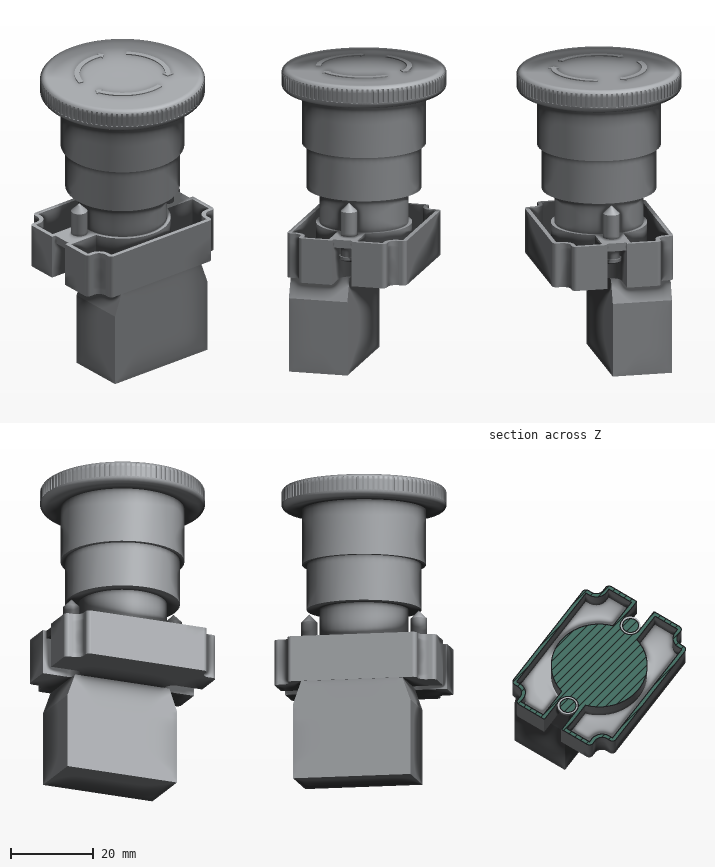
import cadquery as cq
import math

total_height = 74.0
arrow_relief = 0.3
head_top = total_height - arrow_relief
head_bottom = 68.15
collar_bottom = 54.7
ring_bottom = 43.6
housing_top = 35.0
housing_bottom = 23.9
slope_bottom = 18.35

head_diameter = 40.0
head_radius = head_diameter / 2
head_round = 1.5
groove_count = 100
groove_width = 0.5
groove_depth = 0.26
groove_top_gap = 0.7
groove_top = head_top - groove_top_gap
groove_bottom = head_bottom + head_round

arrow_count = 3
arrow_radius = 11.0
arrow_width = 1.25
arrow_head_width = 2.75
arrow_tail_angle = 135.7
arrow_neck_angle = 50.7
arrow_tip_angle = 44.5

collar_radius = 15.0
ring_radius = 13.9
neck_radius = 10.8

housing_half_x = 15.0
housing_length = 40.0
housing_half_y = housing_length / 2
end_half_x = 11.0
middle_half_y = 16.0
wall = 1.0
corner_round = 1.0
scallop_radius = 2.0
floor_thickness = 2.0
boss_radius = 11.7

screw_offset = 13.55
channel_width = 4.95
channel_wall = 1.0
plate_thickness = 2.0
screw_radius = 2.0
screw_cone_base = 41.0
screw_tip = 43.0
screw_head_radius = 2.45
screw_head_top = 29.9
screw_head_rim = 0.75
screw_head_dome = 0.8

block_start_x = 0.15
block_end_x = 14.9
block_half_y = 14.5
block_top_half_y = 12.5


def cylinder(radius, bottom, top):
    return cq.Workplane("XY").workplane(offset=bottom).circle(radius).extrude(top - bottom)


def polar(radius, degrees):
    angle = math.radians(degrees)
    return (radius * math.cos(angle), radius * math.sin(angle))


def make_head():
    """Disc with rounded rims and a ring of short vertical grip grooves."""
    disc = cylinder(head_radius, head_bottom, head_top).edges().fillet(head_round)
    cutters = (
        cq.Workplane("XY")
        .workplane(offset=groove_bottom)
        .polarArray(head_radius, 0, 360, groove_count)
        .rect(2 * groove_depth, groove_width)
        .extrude(groove_top - groove_bottom)
    )
    return disc.cut(cutters)


def make_arrow(rotation):
    """Curved clockwise arrow standing on the top of the head."""
    inner = arrow_radius - arrow_width / 2
    outer = arrow_radius + arrow_width / 2
    barb_inner = arrow_radius - arrow_head_width / 2
    barb_outer = arrow_radius + arrow_head_width / 2
    tail = arrow_tail_angle + rotation
    neck = arrow_neck_angle + rotation
    middle = (tail + neck) / 2
    tip = arrow_tip_angle + rotation
    outline = (
        cq.Workplane("XY")
        .workplane(offset=head_top)
        .moveTo(*polar(inner, tail))
        .lineTo(*polar(outer, tail))
        .threePointArc(polar(outer, middle), polar(outer, neck))
        .lineTo(*polar(barb_outer, neck))
        .lineTo(*polar(arrow_radius, tip))
        .lineTo(*polar(barb_inner, neck))
        .lineTo(*polar(inner, neck))
        .threePointArc(polar(inner, middle), polar(inner, tail))
        .close()
    )
    return outline.extrude(arrow_relief)


def make_stem():
    """Stepped round body from the head down to the tray."""
    collar = cylinder(collar_radius, collar_bottom, head_bottom)
    ring = cylinder(ring_radius, ring_bottom, collar_bottom)
    neck = cylinder(neck_radius, housing_top, ring_bottom)
    return collar.union(ring).union(neck)


def make_cross(inset, bottom, top):
    """Cross-shaped prism, its sides moved inward by inset, with scalloped inner corners."""
    height = top - bottom
    half_x = end_half_x - inset
    half_y = middle_half_y - inset
    base = cq.Workplane("XY").workplane(offset=bottom)
    middle = base.rect(2 * (housing_half_x - inset), 2 * half_y).extrude(height)
    ends = base.rect(2 * half_x, 2 * (housing_half_y - inset)).extrude(height)
    inner_corners = cq.selectors.BoxSelector(
        (-half_x - wall, -half_y - wall, bottom),
        (half_x + wall, half_y + wall, top),
    )
    return middle.union(ends).edges("|Z").edges(inner_corners).fillet(scallop_radius + inset)


def box_at(width, y_start, y_end, bottom, top):
    """Box centred on X = 0 between two Y positions."""
    center = (0, (y_start + y_end) / 2, (bottom + top) / 2)
    return cq.Workplane("XY").box(width, abs(y_end - y_start), top - bottom).translate(center)


def make_housing():
    """Open tray with a central boss and a bridge block at each end."""
    shell = make_cross(0, housing_bottom, housing_top)
    for side in (">X", "<X", ">Y", "<Y"):
        shell = shell.faces(side).edges("|Z").fillet(corner_round)
    housing = shell.cut(make_cross(wall, housing_bottom + floor_thickness, housing_top))
    housing = housing.union(cylinder(boss_radius, housing_bottom, housing_top))

    bridge_width = channel_width + 2 * channel_wall
    inner_end = housing_half_y - wall
    plate_bottom = housing_top - plate_thickness
    for end in (-1, 1):
        screw_y = end * screw_offset
        bridge = box_at(bridge_width, 0, end * inner_end, housing_bottom, housing_top)
        channel = box_at(channel_width, screw_y, end * housing_half_y, housing_bottom, plate_bottom)
        channel_end = cylinder(channel_width / 2, housing_bottom, plate_bottom)
        notch = box_at(channel_width, end * inner_end, end * housing_half_y, plate_bottom, housing_top)
        housing = housing.union(bridge).cut(channel).cut(channel_end.translate((0, screw_y, 0))).cut(notch)
    return housing


def make_screw():
    """Pointed screw on the Z axis, its head at the lower end domed underneath."""
    rim_bottom = screw_head_top - screw_head_rim
    dome_bottom = rim_bottom - screw_head_dome
    sphere_radius = (screw_head_radius**2 + screw_head_dome**2) / (2 * screw_head_dome)
    mid_angle = math.asin(screw_head_radius / sphere_radius) / 2
    dome_middle = (
        sphere_radius * math.sin(mid_angle),
        dome_bottom + sphere_radius * (1 - math.cos(mid_angle)),
    )
    profile = (
        cq.Workplane("XZ")
        .moveTo(0, dome_bottom)
        .threePointArc(dome_middle, (screw_head_radius, rim_bottom))
        .lineTo(screw_head_radius, screw_head_top)
        .lineTo(screw_radius, screw_head_top)
        .lineTo(screw_radius, screw_cone_base)
        .lineTo(0, screw_tip)
        .close()
    )
    return profile.revolve(360, (0, 0, 0), (0, 1, 0))


def make_block():
    """Block under the +X half of the tray, sloped at the top of both Y ends."""
    return (
        cq.Workplane("YZ", origin=(block_start_x, 0, 0))
        .moveTo(-block_half_y, 0)
        .lineTo(block_half_y, 0)
        .lineTo(block_half_y, slope_bottom)
        .lineTo(block_top_half_y, housing_bottom)
        .lineTo(-block_top_half_y, housing_bottom)
        .lineTo(-block_half_y, slope_bottom)
        .close()
        .extrude(block_end_x - block_start_x)
    )


result = make_head().union(make_stem()).union(make_housing()).union(make_block())
for index in range(arrow_count):
    result = result.union(make_arrow(index * 360 / arrow_count))
for end in (-1, 1):
    result = result.union(make_screw().translate((0, end * screw_offset, 0)))